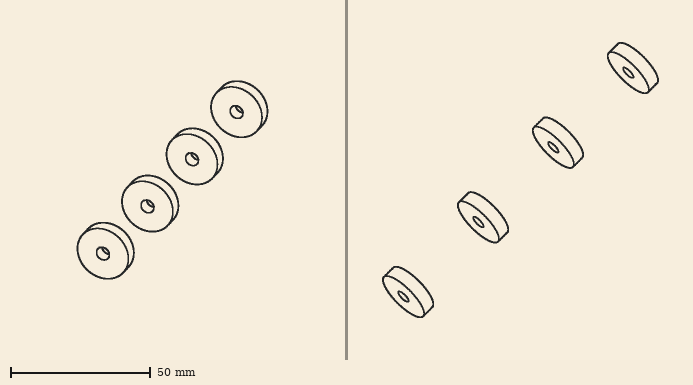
import cadquery as cq

washer_count = 4
washer_diameter = 20.0
bore_diameter = 5.0
overall_length = 125.0
washer_thickness = 5.0
washer_pitch = (overall_length - washer_thickness) / (washer_count - 1)


def make_washer(front_y):
    """Flat washer with its front face at front_y, extending toward +Y."""
    return (
        cq.Workplane("XZ", origin=(0, front_y, 0))
        .circle(washer_diameter / 2)
        .circle(bore_diameter / 2)
        .extrude(-washer_thickness)
    )


first_front_y = -overall_length / 2
washers = [make_washer(first_front_y + index * washer_pitch) for index in range(washer_count)]

result = cq.Compound.makeCompound([washer.val() for washer in washers])